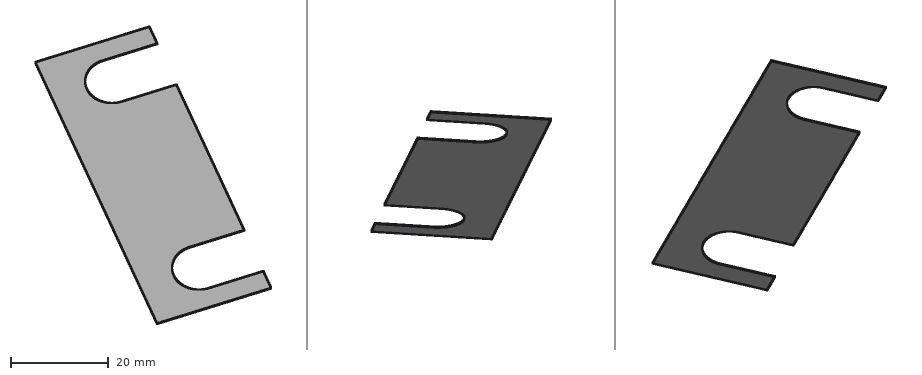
import cadquery as cq

length = 70.0
width = 25.0
thickness = 0.25

slot_width = 11.0
slot_spacing = 50.0
slot_floor_wall = 7.5

slot_radius = slot_width / 2
back_edge = width / 2
slot_center_y = -width / 2 + slot_floor_wall + slot_radius


def open_slot(center_x):
    """Cutter for one slot: straight sides and a half-round closed end."""
    left = center_x - slot_radius
    right = center_x + slot_radius
    return (
        cq.Workplane("XY")
        .moveTo(left, back_edge)
        .lineTo(left, slot_center_y)
        .threePointArc((center_x, slot_center_y - slot_radius), (right, slot_center_y))
        .lineTo(right, back_edge)
        .close()
        .extrude(thickness)
    )


result = cq.Workplane("XY").rect(length, width).extrude(thickness)
for side in (-1, 1):
    result = result.cut(open_slot(side * slot_spacing / 2))